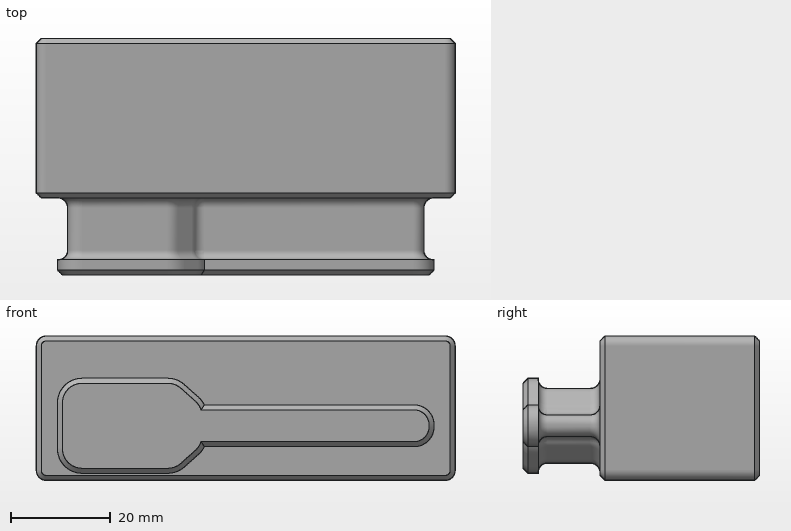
import cadquery as cq

BODY_LENGTH = 84.0
BODY_DEPTH = 32.0
BODY_HEIGHT = 29.0
BODY_CORNER_RADIUS = 2.0

EDGE_CHAMFER = 1.0

GRIP_PROJECTION = 15.45
PLATE_THICKNESS = 3.1
PLATE_OVERHANG = 2.0
ROOT_FILLET = 1.9
PLATE_FILLET = 1.8

PLATE_LENGTH = 75.5
GRIP_CENTRE_Z = -3.5
HEAD_LENGTH = 30.0
HEAD_HEIGHT = 19.1
HEAD_TAPER_LENGTH = 6.0
HEAD_CORNER_RADIUS = 4.95
HANDLE_HEIGHT = 8.4
HANDLE_END_RADIUS = 4.0

SAME_POINT = 0.01

HEAD_LEFT = -PLATE_LENGTH / 2
HEAD_RIGHT = HEAD_LEFT + HEAD_LENGTH
PLATE_BACK = GRIP_PROJECTION - PLATE_THICKNESS


def front_plane(distance):
    """XZ sketch plane at the grip's height, the given distance in front of the body."""
    return cq.Workplane("XZ", origin=(0, -distance, GRIP_CENTRE_Z))


def make_body():
    block = cq.Workplane("XY").box(BODY_LENGTH, BODY_DEPTH, BODY_HEIGHT)
    block = block.translate((0, BODY_DEPTH / 2, 0))
    block = block.edges("|Y").fillet(BODY_CORNER_RADIUS)
    return block.faces("<Y or >Y").edges().chamfer(EDGE_CHAMFER)


def make_plate():
    """Paddle-shaped plate at the front of the grip, before its edge is chamfered."""
    half_head = HEAD_HEIGHT / 2
    half_handle = HANDLE_HEIGHT / 2
    taper_start = HEAD_RIGHT - HEAD_TAPER_LENGTH
    head = (
        front_plane(PLATE_BACK)
        .moveTo(HEAD_LEFT, -half_head)
        .lineTo(taper_start, -half_head)
        .lineTo(HEAD_RIGHT, -half_handle)
        .lineTo(HEAD_RIGHT, half_handle)
        .lineTo(taper_start, half_head)
        .lineTo(HEAD_LEFT, half_head)
        .close()
        .extrude(PLATE_THICKNESS)
        .edges("|Y")
        .fillet(HEAD_CORNER_RADIUS)
    )
    handle_length = PLATE_LENGTH / 2 - taper_start
    handle = (
        front_plane(PLATE_BACK)
        .center(taper_start + handle_length / 2, 0)
        .rect(handle_length, HANDLE_HEIGHT)
        .extrude(PLATE_THICKNESS)
        .edges("|Y and >X")
        .fillet(HANDLE_END_RADIUS)
    )
    return head.union(handle)


def make_stem(plate):
    """Neck between body and plate: the plate outline drawn in by the overhang."""
    outline = plate.faces(">Y").wires().val()
    inset = outline.offset2D(-PLATE_OVERHANG, "arc")[0]
    stem = cq.Solid.extrudeLinear(inset, [], cq.Vector(0, PLATE_BACK, 0))
    return cq.Workplane("XY").add(stem)


def fillet_stem_end(part, stem_end, radius):
    """Fillet the edges of the part that follow the outline of one end of the stem."""
    outline_middles = [edge.positionAt(0.5) for edge in stem_end.edges().vals()]

    def follows_outline(edge):
        middle = edge.positionAt(0.5)
        return any((middle - other).Length < SAME_POINT for other in outline_middles)

    return part.edges().filter(follows_outline).fillet(radius)


plate = make_plate()
stem = make_stem(plate)
chamfered_plate = plate.faces("<Y").edges().chamfer(EDGE_CHAMFER)

rooted_stem = fillet_stem_end(make_body().union(stem), stem.faces(">Y"), ROOT_FILLET)
result = fillet_stem_end(rooted_stem.union(chamfered_plate), stem.faces("<Y"), PLATE_FILLET)